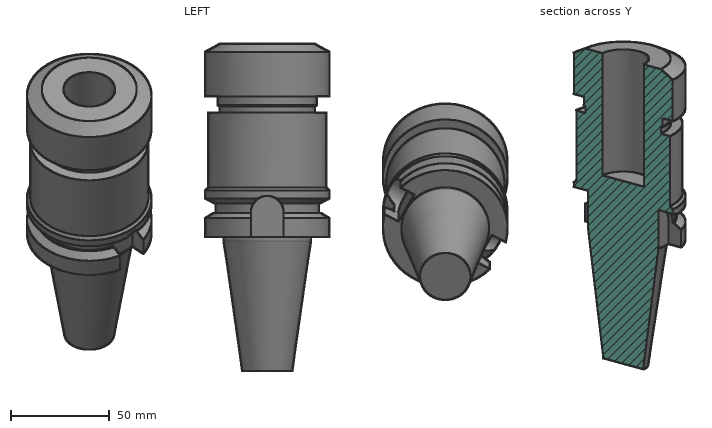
import cadquery as cq

total_height = 165.4
outer_diameter = 63.0
outer_radius = outer_diameter / 2

shank_tip_radius = 12.7
shank_top_radius = 22.2
taper_height = 65.7

flange_bottom = 67.6
flange_edge = 77.2
groove_bottom = 79.9
groove_top = 84.5
groove_radius = 26.3
groove_lip_radius = 27.1

ring_bottom = 87.2
ring_edge = 91.1
ring_top = 92.6

body_radius = 30.0
body_top = 130.5
neck_radius = 24.1
neck_top = 133.6
thread_radius = 25.1
thread_chamfer_height = 0.7

nut_bottom = 138.8
nut_face_radius = 24.0
nut_chamfer_height = 4.1

bore_diameter = 26.0
bore_radius = bore_diameter / 2
bore_depth = 66.2

slot_width = 16.5
slot_top = 88.5
slot_floor_distance = 22.5


def make_holder():
    """Revolve the half section, given as (radius, height), about the Z axis."""
    section = [
        (0, 0),
        (shank_tip_radius, 0),
        (shank_top_radius, taper_height),
        (shank_top_radius, flange_bottom),
        (outer_radius, flange_bottom),
        (outer_radius, flange_edge),
        (groove_lip_radius, groove_bottom),
        (groove_radius, groove_bottom),
        (groove_radius, groove_top),
        (outer_radius, ring_bottom),
        (outer_radius, ring_edge),
        (body_radius, ring_top),
        (body_radius, body_top),
        (neck_radius, body_top),
        (neck_radius, neck_top),
        (thread_radius, neck_top + thread_chamfer_height),
        (thread_radius, nut_bottom),
        (outer_radius, nut_bottom),
        (outer_radius, total_height - nut_chamfer_height),
        (nut_face_radius, total_height),
        (0, total_height),
    ]
    return cq.Workplane("XZ").polyline(section).close().revolve(360, (0, 0), (0, 1))


def make_bore():
    """Blind bore entering from the nut face."""
    bottom = total_height - bore_depth
    return cq.Workplane("XY").workplane(offset=bottom).circle(bore_radius).extrude(bore_depth)


def make_slot_cutter():
    """Round-topped slot on the +X side, open at the bottom of the flange."""
    half_width = slot_width / 2
    arc_height = slot_top - half_width
    return (
        cq.Workplane("YZ")
        .workplane(offset=slot_floor_distance)
        .moveTo(-half_width, flange_bottom)
        .lineTo(-half_width, arc_height)
        .threePointArc((0, slot_top), (half_width, arc_height))
        .lineTo(half_width, flange_bottom)
        .close()
        .extrude(outer_radius)
    )


result = make_holder().cut(make_bore())
for angle in (0, 180):
    result = result.cut(make_slot_cutter().rotate((0, 0, 0), (0, 0, 1), angle))